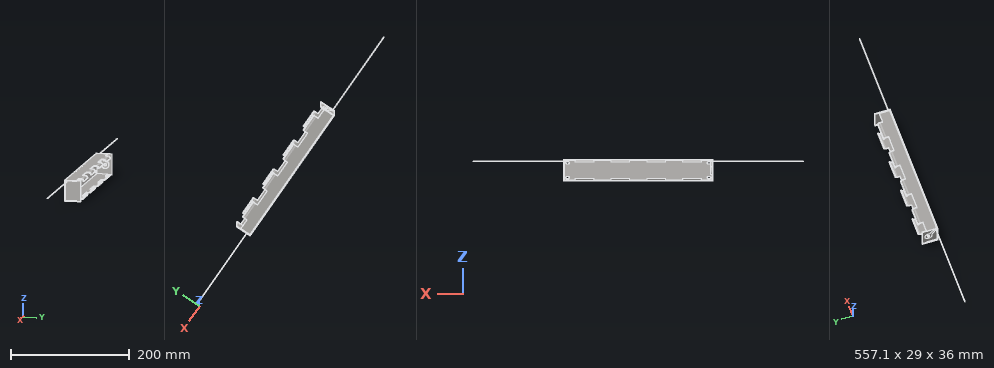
import cadquery as cq
import math

sheet = 1.5
housing_length = 252.0
housing_height = 36.0
wall_depth = 20.0
end_plate_depth = 27.6

tab_count = 4
tab_pitch = 60.4
tab_width = 31.5
overall_depth = 29.02
curl_radius = 4.5

slot_length = 6.0
slot_height = 3.2
slot_spacing_x = 238.0
slot_spacing_z = 25.0

overall_length = 557.1
wire_diameter = 0.8
wire_tip_length = 3.0
wire_tip_diameter = 0.4
wire_y = 3.17
wire_z = 14.9

lever_thickness = 3.0
hub_radius = 6.4
hub_bore_radius = 2.0
hub_y = 16.2
hub_z = -0.5
arm_root_radius = 3.4
arm_tip_radius = 1.3

half_length = housing_length / 2
half_height = housing_height / 2
inner_length = housing_length - 2 * sheet
inner_height = housing_height - 2 * sheet
tab_depth = overall_depth - curl_radius
curl_inner_radius = curl_radius - sheet
plate_inner_x = -half_length + sheet
wire_inner_x = half_length - sheet - lever_thickness
tab_centers = [(i - (tab_count - 1) / 2) * tab_pitch for i in range(tab_count)]


def block(length, y_from, y_to, height):
    """Box centred on X and Z that spans the given range of Y."""
    return cq.Workplane("XY").box(length, y_to - y_from, height).translate((0, (y_from + y_to) / 2, 0))


def make_tab(x_center, side):
    """One curled tab; side is +1 on the top wall and -1 on the bottom wall."""
    outer_z = side * half_height
    inner_z = side * (half_height - sheet)
    curl_z = side * (half_height - curl_radius)
    diagonal = math.sqrt(0.5)

    def arc_middle(radius):
        return tab_depth + radius * diagonal, curl_z + side * radius * diagonal

    profile = (
        cq.Workplane("YZ", origin=(x_center - tab_width / 2, 0, 0))
        .moveTo(wall_depth - sheet, inner_z)
        .lineTo(wall_depth - sheet, outer_z)
        .lineTo(tab_depth, outer_z)
        .threePointArc(arc_middle(curl_radius), (overall_depth, curl_z))
        .lineTo(tab_depth + curl_inner_radius, curl_z)
        .threePointArc(arc_middle(curl_inner_radius), (tab_depth, inner_z))
        .close()
    )
    return profile.extrude(tab_width)


def make_wire(side):
    """Round wire that leaves the housing at one end; side is +1 towards +X and -1 towards -X."""
    inner_x = side * wire_inner_x
    taper_x = side * (overall_length / 2 - wire_tip_length)
    tip_x = side * overall_length / 2
    return (
        cq.Workplane("XY")
        .moveTo(inner_x, 0)
        .lineTo(inner_x, wire_diameter / 2)
        .lineTo(taper_x, wire_diameter / 2)
        .lineTo(tip_x, wire_tip_diameter / 2)
        .lineTo(tip_x, 0)
        .close()
        .revolve(360, (0, 0, 0), (1, 0, 0))
        .translate((0, wire_y, wire_z))
    )


def make_housing(wires):
    """Open tray with taller end plates, curled tabs, front slots and a hole for each wire."""
    body = block(housing_length, 0, end_plate_depth, housing_height)
    body = body.cut(block(inner_length, wall_depth, end_plate_depth, housing_height))
    body = body.cut(block(inner_length, sheet, end_plate_depth, inner_height))
    for x_center in tab_centers:
        for side in (1, -1):
            body = body.union(make_tab(x_center, side))
    slots = (
        cq.Workplane("XZ")
        .rarray(slot_spacing_x, slot_spacing_z, 2, 2)
        .slot2D(slot_length, slot_height)
        .extrude(-sheet)
    )
    body = body.cut(slots)
    for wire in wires:
        body = body.cut(wire)
    return body


def make_lever(wire):
    """Flat hub with a bore and a tapered arm whose rounded tip carries the wire."""
    plane = cq.Workplane("YZ", origin=(plate_inner_x, 0, 0))
    reach = math.hypot(wire_y - hub_y, wire_z - hub_z)
    direction = math.atan2(wire_z - hub_z, wire_y - hub_y)
    touch = math.acos((arm_root_radius - arm_tip_radius) / reach)

    def on_round(y, z, radius, angle):
        return y + radius * math.cos(direction + angle), z + radius * math.sin(direction + angle)

    arm = (
        plane.moveTo(*on_round(hub_y, hub_z, arm_root_radius, touch))
        .lineTo(*on_round(wire_y, wire_z, arm_tip_radius, touch))
        .threePointArc(
            on_round(wire_y, wire_z, arm_tip_radius, 0),
            on_round(wire_y, wire_z, arm_tip_radius, -touch),
        )
        .lineTo(*on_round(hub_y, hub_z, arm_root_radius, -touch))
        .threePointArc(
            on_round(hub_y, hub_z, arm_root_radius, math.pi),
            on_round(hub_y, hub_z, arm_root_radius, touch),
        )
        .close()
        .extrude(lever_thickness)
    )
    hub = plane.center(hub_y, hub_z).circle(hub_radius).extrude(lever_thickness)
    bore = plane.center(hub_y, hub_z).circle(hub_bore_radius).extrude(lever_thickness)
    return hub.union(arm).cut(bore).cut(wire)


left_wire = make_wire(-1)
right_wire = make_wire(1)
housing = make_housing([left_wire, right_wire])
lever = make_lever(left_wire)
result = cq.Compound.makeCompound([housing.val(), left_wire.val(), right_wire.val(), lever.val()])